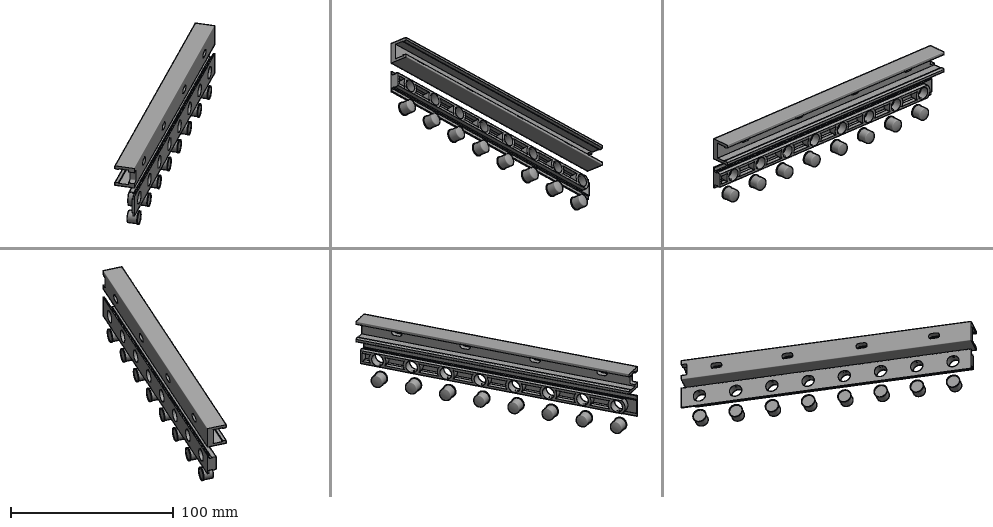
import cadquery as cq

LENGTH = 184.4
HEIGHT = 45.4
CAP_DROP = 14.2

RAIL_DEPTH = 12.5
RAIL_HEIGHT = 13.8
WEB_THICKNESS = 3.9
FLANGE_THICKNESS = 1.8
LIP_LENGTH = 2.5
LIP_HEIGHT = 0.5
LIP_STEP = 0.2
RAIL_EDGE_RADIUS = 0.4
SLOT_LENGTH = 6.8
SLOT_WIDTH = 3.7
SLOT_POSITIONS = (22.3, 67.5, 114.7, 160.8)
NOTCH_LENGTH = 3.5
NOTCH_HEIGHT = 7.7
NOTCH_RADIUS = 1.0

HOLE_COUNT = 8
HOLE_PITCH = LENGTH / HOLE_COUNT
HOLE_POSITIONS = [(index + 0.5) * HOLE_PITCH for index in range(HOLE_COUNT)]
HOLE_DIAMETER = 7.7
RING_RADIUS = 5.7
PLATE_HEIGHT = 13.8
PLATE_THICKNESS = 1.0
PLATE_OFFSET = 0.2
PAD_DEPTH = 1.7
PAD_SLOPE = 0.4
STRIP_DEPTH = 5.9
BODY_HEIGHT = 8.9
POCKET_HEIGHT = 5.5
END_WALL = 1.3
BEAD_FRONT_X = -4.8
BEAD_FRONT_HEIGHT = 0.4
BEAD_PEAK_X = -4.0
BEAD_HEIGHT = 0.46
BEAD_BACK_X = -3.0

CAP_DIAMETER = 8.0
CAP_RIM_DIAMETER = 8.5
CAP_RIM_THICKNESS = 0.5
CAP_SIDE_DEPTH = 6.8
CAP_DEPTH = 7.5
CAP_EDGE_RADIUS = 0.5

CAP_Z = -CAP_DROP
RAIL_Z = CAP_Z - CAP_RIM_DIAMETER / 2 + HEIGHT - RAIL_HEIGHT / 2


def block(x_range, y_range, z_range):
    """A box between the given limits."""
    corner = (x_range[0], y_range[0], z_range[0])
    size = (x_range[1] - x_range[0], y_range[1] - y_range[0], z_range[1] - z_range[0])
    return cq.Workplane("XY").box(*size, centered=False).translate(corner)


def cylinders(diameter, depth, positions):
    """Cylinders from the back face toward -x at the given y positions."""
    points = [(y, 0) for y in positions]
    return cq.Workplane("YZ").pushPoints(points).circle(diameter / 2).extrude(-depth)


def rail_half():
    """Upper half of the channel, with a rounded lip along its flange."""
    top = RAIL_HEIGHT / 2
    flange_z = top - FLANGE_THICKNESS
    lip_z = flange_z - LIP_HEIGHT
    lip_x = LIP_LENGTH - RAIL_DEPTH
    lip_middle_x = -RAIL_DEPTH + (LIP_LENGTH - LIP_STEP) / 2
    lip_middle_z = lip_z + LIP_HEIGHT / 4
    half = (
        cq.Workplane("XZ")
        .moveTo(0, 0)
        .lineTo(-WEB_THICKNESS, 0)
        .lineTo(-WEB_THICKNESS, flange_z)
        .lineTo(lip_x, flange_z)
        .lineTo(lip_x - LIP_STEP, lip_z)
        .threePointArc((lip_middle_x, lip_middle_z), (-RAIL_DEPTH, flange_z))
        .lineTo(-RAIL_DEPTH, top)
        .lineTo(0, top)
        .close()
        .extrude(-LENGTH)
    )
    return half.faces(">Z").edges("|Y").fillet(RAIL_EDGE_RADIUS)


def make_rail():
    half = rail_half()
    channel = half.union(half.mirror("XY"))
    slots = (
        cq.Workplane("YZ")
        .pushPoints([(y, 0) for y in SLOT_POSITIONS])
        .slot2D(SLOT_LENGTH, SLOT_WIDTH)
        .extrude(-WEB_THICKNESS)
    )
    notch = block((-WEB_THICKNESS, 0), (0, NOTCH_LENGTH), (-NOTCH_HEIGHT / 2, NOTCH_HEIGHT / 2))
    notch = notch.faces(">Y").edges("|X").fillet(NOTCH_RADIUS)
    return channel.cut(slots).cut(notch).translate((0, 0, RAIL_Z))


def beaded_half(height, back_x, y_start, y_end):
    """Upper half of a bar whose top carries a snap bead."""
    top = height / 2
    return (
        cq.Workplane("XZ", origin=(0, y_start, 0))
        .moveTo(back_x, 0)
        .lineTo(-STRIP_DEPTH, 0)
        .lineTo(-STRIP_DEPTH, top)
        .lineTo(BEAD_FRONT_X, top + BEAD_FRONT_HEIGHT)
        .threePointArc((BEAD_PEAK_X, top + BEAD_HEIGHT), (BEAD_BACK_X, top))
        .lineTo(back_x, top)
        .close()
        .extrude(y_start - y_end)
    )


def beaded_bar(height, back_x, y_start, y_end):
    """A bar with a snap bead along its top and its bottom."""
    half = beaded_half(height, back_x, y_start, y_end)
    return half.union(half.mirror("XY"))


def make_plate():
    """Thin plate with a sloped pad along the foot of the body."""
    bottom = PLATE_OFFSET - PLATE_HEIGHT / 2
    plate = block((-PLATE_THICKNESS, 0), (0, LENGTH), (bottom, bottom + PLATE_HEIGHT))
    pad_z = BODY_HEIGHT / 2
    foot_z = pad_z + PAD_SLOPE
    pad = (
        cq.Workplane("XZ")
        .polyline([
            (-PLATE_THICKNESS, foot_z),
            (-PAD_DEPTH, pad_z),
            (-PAD_DEPTH, -pad_z),
            (-PLATE_THICKNESS, -foot_z),
        ])
        .close()
        .extrude(-LENGTH)
    )
    return plate.union(pad)


def make_strip():
    first_hole = HOLE_POSITIONS[0]
    rings = cylinders(2 * RING_RADIUS, STRIP_DEPTH, HOLE_POSITIONS)

    body = beaded_bar(BODY_HEIGHT, -PLATE_THICKNESS, first_hole, LENGTH)
    front_end = beaded_bar(BODY_HEIGHT, -PLATE_THICKNESS, 0, first_hole).intersect(rings)

    pockets = beaded_bar(POCKET_HEIGHT, -PLATE_THICKNESS, first_hole, LENGTH - END_WALL).cut(rings)
    holes = cylinders(HOLE_DIAMETER, STRIP_DEPTH, HOLE_POSITIONS)
    return make_plate().union(body).union(front_end).cut(pockets).cut(holes)


def make_cap(y):
    radius = CAP_DIAMETER / 2
    rim_radius = CAP_RIM_DIAMETER / 2
    dome_height = CAP_DEPTH - CAP_SIDE_DEPTH
    sphere_radius = (radius**2 + dome_height**2) / (2 * dome_height)
    side = cq.Workplane("YZ").circle(radius).extrude(-CAP_DEPTH)
    sphere = cq.Workplane("XY").sphere(sphere_radius).translate((sphere_radius - CAP_DEPTH, 0, 0))
    plug = side.intersect(sphere).faces("<X").edges().fillet(CAP_EDGE_RADIUS)
    rim = cq.Workplane("YZ").circle(rim_radius).extrude(-CAP_RIM_THICKNESS)
    cap = plug.union(rim)
    return cap.translate((0, y, CAP_Z))


rail = make_rail()
strip = make_strip()
caps = [make_cap(y) for y in HOLE_POSITIONS]

result = cq.Compound.makeCompound([rail.val(), strip.val(), *[cap.val() for cap in caps]])